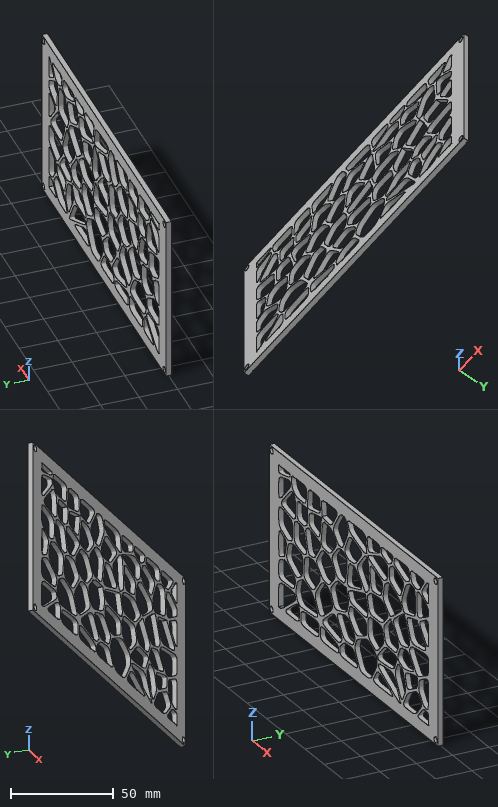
import cadquery as cq
import math

LENGTH = 175.0
HEIGHT = 90.0
THICKNESS = 3.0

SIDE_MARGIN = 10.0
TOP_MARGIN = 7.0

HOLE_DIAMETER = 3.2
HOLE_INSET = 2.5

SQUASH = 0.86
WALL = 1.8
CORNER_SHARE = 0.28
SHORTEST_EDGE = 0.23

FRONT_FACE = cq.Plane.named("XZ", origin=(0, -THICKNESS / 2, 0))

WINDOW_HALF_X = LENGTH / 2 - SIDE_MARGIN
WINDOW_HALF_Z = (HEIGHT / 2 - TOP_MARGIN) / SQUASH
WINDOW_CORNERS = [
    (-WINDOW_HALF_X, -WINDOW_HALF_Z),
    (WINDOW_HALF_X, -WINDOW_HALF_Z),
    (WINDOW_HALF_X, WINDOW_HALF_Z),
    (-WINDOW_HALF_X, WINDOW_HALF_Z),
]

SEEDS = [
    (-77.9, 43.8), (-53.0, 38.9), (-43.5, 38.2), (-24.5, 39.7), (-14.2, 33.5), (4.4, 41.1),
    (21.9, 43.6), (33.3, 45.2), (49.9, 41.5), (66.3, 44.5), (78.3, 36.2), (-75.5, 33.0),
    (45.0, 30.5), (27.5, 30.8), (58.1, 25.4), (-0.7, 27.3), (-65.8, 24.7), (71.6, 26.0),
    (-40.6, 25.0), (-53.2, 25.2), (-26.8, 23.1), (10.3, 18.7), (23.0, 20.0), (38.2, 17.2),
    (-13.7, 12.6), (77.4, 15.8), (-44.1, 13.7), (-69.3, 11.0), (0.4, 10.9), (-55.5, 11.0),
    (63.4, 5.3), (-28.7, 3.7), (51.5, 0.7), (24.7, 3.2), (4.7, -2.1), (-77.9, -4.0),
    (38.0, -8.5), (-42.7, -8.5), (-61.6, -7.4), (-14.2, -8.5), (65.3, -8.5), (24.7, -11.9),
    (-31.7, -16.3), (3.3, -13.5), (55.0, -15.8), (-70.4, -20.5), (-49.5, -25.0), (-9.0, -24.5),
    (36.8, -22.4), (75.5, -27.1), (57.8, -25.7), (48.8, -28.2), (12.3, -31.7), (-18.9, -30.8),
    (-70.0, -33.6), (37.6, -33.8), (63.4, -35.4), (-62.5, -42.7), (-7.5, -41.8), (-48.5, -42.9),
    (-21.9, -43.0), (32.4, -43.5), (73.5, -43.8),
]


def point_between(start, end, share):
    """Point lying the given share of the way from start to end."""
    return (start[0] + share * (end[0] - start[0]), start[1] + share * (end[1] - start[1]))


def cut_by_wall(polygon, seed, other):
    """Keep the part of a polygon on the seed's side of the wall between two seeds."""
    gap = math.dist(seed, other)
    normal = ((other[0] - seed[0]) / gap, (other[1] - seed[1]) / gap)
    reach = (gap - WALL) / 2

    def depth_past_wall(point):
        return (point[0] - seed[0]) * normal[0] + (point[1] - seed[1]) * normal[1] - reach

    kept = []
    for start, end in zip(polygon[-1:] + polygon[:-1], polygon):
        start_depth = depth_past_wall(start)
        end_depth = depth_past_wall(end)
        if (start_depth <= 0) != (end_depth <= 0):
            kept.append(point_between(start, end, start_depth / (start_depth - end_depth)))
        if end_depth <= 0:
            kept.append(end)
    return kept


def cell_corners(seed):
    """Corners of one cell inside the window, without those that nearly coincide."""
    polygon = WINDOW_CORNERS
    for other in SEEDS:
        if other != seed:
            polygon = cut_by_wall(polygon, seed, other)
    previous = polygon[-1:] + polygon[:-1]
    return [corner for before, corner in zip(previous, polygon) if math.dist(before, corner) > SHORTEST_EDGE]


def squashed(point):
    """Panel position of a point on the unsquashed sheet."""
    return (point[0], point[1] * SQUASH)


def cell_outline(seed):
    """Closed cell outline, rounded at every corner except the corners of the window."""
    corners = cell_corners(seed)
    count = len(corners)
    bends = []
    for index, corner in enumerate(corners):
        share = 0 if corner in WINDOW_CORNERS else CORNER_SHARE
        entry = point_between(corner, corners[index - 1], share)
        leave = point_between(corner, corners[(index + 1) % count], share)
        bends.append([squashed(entry), squashed(corner), squashed(leave)])

    outline = cq.Workplane(FRONT_FACE).moveTo(*bends[0][0])
    for index, bend in enumerate(bends):
        if index > 0:
            outline = outline.lineTo(*bend[0])
        if bend[0] != bend[2]:
            outline = outline.bezier(bend, includeCurrent=False)
    return outline.close().val()


mounting_holes = (
    cq.Workplane(FRONT_FACE)
    .rect(LENGTH - 2 * HOLE_INSET, HEIGHT - 2 * HOLE_INSET, forConstruction=True)
    .vertices()
    .circle(HOLE_DIAMETER / 2)
    .vals()
)

border = cq.Workplane(FRONT_FACE).rect(LENGTH, HEIGHT).val()
cells = [cell_outline(seed) for seed in SEEDS]
plate = cq.Solid.extrudeLinear(border, mounting_holes + cells, cq.Vector(0, THICKNESS, 0))
result = cq.Workplane("XY").newObject([plate])